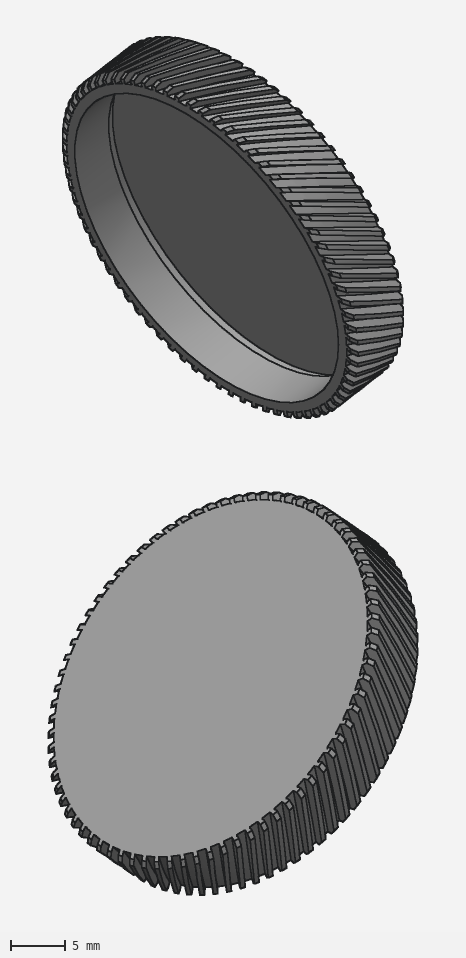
import cadquery as cq
import math

outer_diameter = 38.1
thickness = 7.0
edge_chamfer = 0.5

ridge_count = 75
ridge_height = 1.0
ridge_width = 0.55
ridge_lean = 1.0
ridge_twist = 14.0
first_ridge_angle = 1.65
trim_allowance = 0.4

recess_diameter = 34.0
recess_lip_depth = 4.5
undercut_width = 1.0
undercut_depth = 0.5

outer_radius = outer_diameter / 2
root_radius = outer_radius - ridge_height
recess_radius = recess_diameter / 2
recess_depth = recess_lip_depth + undercut_width
front_y = -thickness / 2
back_y = thickness / 2
ridge_pitch_angle = 360 / ridge_count


def on_circle(radius, angle):
    return (radius * math.cos(math.radians(angle)), radius * math.sin(math.radians(angle)))


def ridged_blank():
    """Core with overheight ridges, twisted about Y from the back face to the front face."""
    blank_radius = outer_radius + trim_allowance
    blank_lean = ridge_lean * (blank_radius - root_radius) / ridge_height
    root_half_angle = math.degrees(ridge_width / root_radius) / 2
    tip_half_angle = math.degrees(ridge_width / blank_radius) / 2
    back_ridge_angle = first_ridge_angle - ridge_twist

    outline = cq.Workplane("XZ", origin=(0, back_y, 0))
    outline = outline.moveTo(*on_circle(root_radius, back_ridge_angle - root_half_angle))
    for index in range(ridge_count):
        root_middle = back_ridge_angle + index * ridge_pitch_angle
        tip_middle = root_middle - blank_lean
        groove_middle = root_middle + ridge_pitch_angle / 2
        groove_end = root_middle + ridge_pitch_angle - root_half_angle
        outline = outline.lineTo(*on_circle(blank_radius, tip_middle - tip_half_angle))
        outline = outline.lineTo(*on_circle(blank_radius, tip_middle + tip_half_angle))
        outline = outline.lineTo(*on_circle(root_radius, root_middle + root_half_angle))
        outline = outline.threePointArc(
            on_circle(root_radius, groove_middle), on_circle(root_radius, groove_end)
        )
    return outline.close().twistExtrude(thickness, ridge_twist)


def disc(radius, start_depth, end_depth):
    """Cylinder about Y between two depths behind the front face."""
    start_plane = cq.Workplane("XZ", origin=(0, front_y + start_depth, 0))
    return start_plane.circle(radius).extrude(start_depth - end_depth)


def trimmed_envelope():
    """Plain disc with both outer rims chamfered, used to trim the ridges."""
    return disc(outer_radius, 0, thickness).edges().chamfer(edge_chamfer)


def undercut_recess():
    opening = disc(recess_radius, 0, recess_depth)
    undercut = disc(recess_radius + undercut_depth, recess_lip_depth, recess_depth)
    return opening.union(undercut)


cap_body = trimmed_envelope().cut(undercut_recess())
result = ridged_blank().intersect(cap_body)